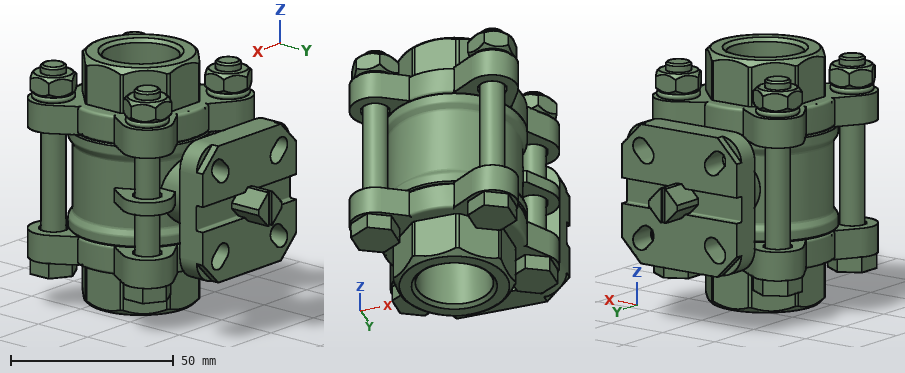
import cadquery as cq
import math


overall_length = 80.0
overall_depth = 79.6
overall_width = 54.2
half_length = overall_length / 2

lobe_radius = 8.0
bolt_offset = overall_width / 2 - lobe_radius
flange_inner_z = 16.5
flange_outer_z = 25.6
flange_radius = 22.4
flange_fillet = 1.0
web_corner_x = 7.3
web_corner_y = 21.1
bolt_hole_diameter = 9.0
lug_thickness = 4.2

body_radius = 21.1
collar_radius = 22.5
collar_slope_start_z = 11.0
collar_slope_end_z = 13.0
collar_blend_radius = 1.2
collar_edge_chamfer = 0.5

octagon_flats = 35.3
octagon_turned_diameter = 37.8
octagon_face_diameter = 33.9

bore_diameter = 20.0
socket_diameter = 24.1
socket_mouth_diameter = 26.4
socket_depth = 16.8
shoulder_height = 1.2

shank_diameter = 7.8
thread_diameter = 8.0
thread_chamfer = 0.6
bolt_end_z = 36.5
hex_corner_diameter = 15.3
head_height = 5.0
washer_diameter = 13.5
washer_thickness = 1.8
nut_height = 6.6
nut_face_diameter = 12.2

neck_diameter = 22.7
pad_inner_y = 34.9
pad_outer_y = 44.2
pad_width = 44.2
pad_corner_radius = 8.1
pad_corner_cut = 7.4
pad_corner_cut_depth = 2.6
pad_channel_width = 8.2
pad_channel_depth = 2.6
pad_channel_fillet = 0.5
pad_slot_width = 5.8
pad_slot_travel = 3.0
pad_slot_radius = 19.5
stem_end_y = overall_depth - overall_width / 2
stem_square = 9.0
stem_corner_span = 10.9
stem_groove_width = 1.3
stem_groove_depth = 0.7


def disc(diameter, z_bottom, z_top):
    """Cylinder on the Z axis."""
    return cq.Workplane("XY", origin=(0, 0, z_bottom)).circle(diameter / 2).extrude(z_top - z_bottom)


def chamfered_disc(diameter, face_diameter, z_bottom, z_top, edges):
    """Cylinder with 45 degree chamfers that leave the given face diameter."""
    return disc(diameter, z_bottom, z_top).edges(edges).chamfer((diameter - face_diameter) / 2)


def lobe(z_bottom, z_top):
    """Bolt lobe in the +X+Y quadrant, its flanks tangent to the rounded end."""
    to_corner_x = web_corner_x - bolt_offset
    to_corner_y = web_corner_y - bolt_offset
    corner_distance = math.hypot(to_corner_x, to_corner_y)
    tangent_angle = math.atan2(to_corner_y, to_corner_x) - math.acos(lobe_radius / corner_distance)
    tangent_x = bolt_offset + lobe_radius * math.cos(tangent_angle)
    tangent_y = bolt_offset + lobe_radius * math.sin(tangent_angle)
    tip = bolt_offset + lobe_radius * math.sqrt(0.5)
    return (
        cq.Workplane("XY", origin=(0, 0, z_bottom))
        .moveTo(0, 0)
        .lineTo(web_corner_x, web_corner_y)
        .lineTo(tangent_x, tangent_y)
        .threePointArc((tip, tip), (tangent_y, tangent_x))
        .lineTo(web_corner_y, web_corner_x)
        .close()
        .extrude(z_top - z_bottom)
    )


def bolt_holes(z_bottom, z_top):
    return (
        cq.Workplane("XY", origin=(0, 0, z_bottom))
        .rect(2 * bolt_offset, 2 * bolt_offset, forConstruction=True)
        .vertices()
        .circle(bolt_hole_diameter / 2)
        .extrude(z_top - z_bottom)
    )


def end_piece():
    """Upper flange with its octagonal pipe end."""
    flange = disc(2 * flange_radius, flange_inner_z, flange_outer_z).edges().fillet(flange_fillet)
    for quadrant in range(4):
        one_lobe = lobe(flange_inner_z, flange_outer_z)
        flange = flange.union(one_lobe.rotate((0, 0, 0), (0, 0, 1), 90 * quadrant))
    flange = flange.cut(bolt_holes(flange_inner_z, flange_outer_z))

    octagon = (
        cq.Workplane("XY", origin=(0, 0, flange_inner_z))
        .polygon(8, octagon_flats, circumscribed=True)
        .extrude(half_length - flange_inner_z)
    )
    turned = chamfered_disc(octagon_turned_diameter, octagon_face_diameter, flange_inner_z, half_length, ">Z")
    return flange.union(octagon.intersect(turned))


def body():
    """Turned centre body with a collar at each end and one bolt lug."""
    half = (
        cq.Workplane("XZ")
        .lineTo(body_radius, 0)
        .lineTo(body_radius, collar_slope_start_z)
        .lineTo(collar_radius, collar_slope_end_z)
        .lineTo(collar_radius, flange_inner_z)
        .lineTo(0, flange_inner_z)
        .close()
        .revolve(360, (0, 0, 0), (0, 1, 0))
    )
    half = half.faces("%CONE").edges("%CIRCLE").fillet(collar_blend_radius)
    half = half.faces(">Z").edges().chamfer(collar_edge_chamfer)
    lug = lobe(-lug_thickness / 2, lug_thickness / 2).cut(bolt_holes(-lug_thickness, lug_thickness))
    return half.union(half.mirror("XY")).union(lug)


def hexagon(z_bottom, height):
    """Hexagonal prism with two corners on the X axis."""
    return cq.Workplane("XY", origin=(0, 0, z_bottom)).polygon(6, hex_corner_diameter).extrude(height)


def round_washer():
    """Washer whose rim is a full half round."""
    rim_radius = washer_thickness / 2
    flat_radius = washer_diameter / 2 - rim_radius
    return (
        cq.Workplane("XZ", origin=(0, 0, flange_outer_z))
        .lineTo(flat_radius, 0)
        .threePointArc((washer_diameter / 2, rim_radius), (flat_radius, washer_thickness))
        .lineTo(0, washer_thickness)
        .close()
        .revolve(360, (0, 0, 0), (0, 1, 0))
    )


def bolt_set(nut_angle):
    """Bolt with head, washer and nut on the Z axis."""
    nut_bottom_z = flange_outer_z + washer_thickness
    nut_top_z = nut_bottom_z + nut_height
    head = hexagon(-flange_outer_z - head_height, head_height).rotate((0, 0, 0), (0, 0, 1), 90)
    shank = disc(shank_diameter, -flange_outer_z, nut_bottom_z)
    thread = disc(thread_diameter, nut_bottom_z, bolt_end_z).faces(">Z").edges().chamfer(thread_chamfer)
    nut_turned = chamfered_disc(hex_corner_diameter, nut_face_diameter, nut_bottom_z, nut_top_z, "%CIRCLE")
    nut = hexagon(nut_bottom_z, nut_height).intersect(nut_turned).rotate((0, 0, 0), (0, 0, 1), nut_angle)
    return head.union(shank).union(thread).union(round_washer()).union(nut)


def along_stem(y):
    """Plane square to the stem: local x is +X, local y is -Z, extruding towards +Y."""
    return cq.Workplane("ZX", origin=(0, y, 0)).transformed(rotate=(0, 0, 90))


def actuator_pad():
    """Square mounting pad with its neck."""
    neck = along_stem(0).circle(neck_diameter / 2).extrude(pad_inner_y)

    pad = along_stem(pad_inner_y).rect(pad_width, pad_width).extrude(pad_outer_y - pad_inner_y)
    pad = pad.edges("|Y").fillet(pad_corner_radius)
    outer_layer = (
        along_stem(pad_outer_y - pad_corner_cut_depth)
        .rect(pad_width, pad_width)
        .extrude(pad_corner_cut_depth)
    )
    pad = pad.cut(outer_layer.cut(outer_layer.edges("|Y").chamfer(pad_corner_cut)))

    channel = (
        along_stem(pad_outer_y - pad_channel_depth)
        .rect(pad_width, pad_channel_width)
        .extrude(pad_channel_depth)
        .edges("|X and <Y")
        .fillet(pad_channel_fillet)
    )
    slots = (
        along_stem(pad_inner_y)
        .polarArray(pad_slot_radius, 45, 360, 4)
        .slot2D(pad_slot_width + pad_slot_travel, pad_slot_width)
        .extrude(pad_outer_y - pad_inner_y)
    )
    return neck.union(pad.cut(channel).cut(slots))


def stem():
    """Square stem set on edge, its corners flattened and a groove across its end."""
    square = along_stem(pad_inner_y).rect(stem_square, stem_square).extrude(stem_end_y - pad_inner_y)
    square = square.rotate((0, 0, 0), (0, 1, 0), 45)
    corner_limit = along_stem(pad_inner_y).rect(stem_corner_span, stem_corner_span)
    corner_limit = corner_limit.extrude(stem_end_y - pad_inner_y)
    groove = (
        along_stem(stem_end_y - stem_groove_depth)
        .rect(stem_groove_width, stem_corner_span)
        .extrude(stem_groove_depth)
    )
    return square.intersect(corner_limit).cut(groove)


def flow_passage():
    """Through bore with a conical-shouldered socket and a bevelled mouth at each end."""
    bore_radius = bore_diameter / 2
    socket_radius = socket_diameter / 2
    mouth_radius = socket_mouth_diameter / 2
    shoulder_z = half_length - socket_depth
    half = (
        cq.Workplane("XZ")
        .lineTo(bore_radius, 0)
        .lineTo(bore_radius, shoulder_z - shoulder_height)
        .lineTo(socket_radius, shoulder_z)
        .lineTo(socket_radius, half_length - (mouth_radius - socket_radius))
        .lineTo(mouth_radius, half_length)
        .lineTo(0, half_length)
        .close()
        .revolve(360, (0, 0, 0), (0, 1, 0))
    )
    return half.union(half.mirror("XY"))


upper_end = end_piece()
result = body().union(upper_end).union(upper_end.mirror("XY")).union(actuator_pad()).union(stem())
result = result.cut(flow_passage())

for x_side in (-1, 1):
    for y_side in (-1, 1):
        turn = 0 if x_side == y_side else 90
        result = result.union(bolt_set(turn).translate((x_side * bolt_offset, y_side * bolt_offset, 0)))